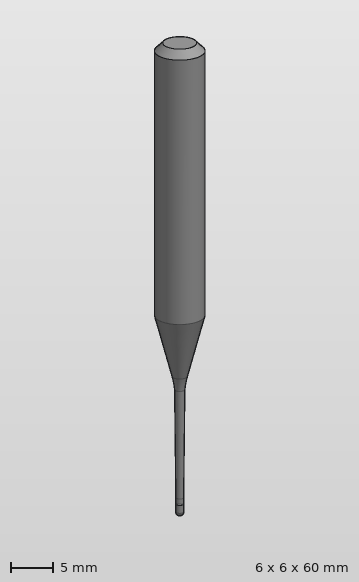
import cadquery as cq
import math


overall_length = 60.0
shank_radius = 3.0
end_chamfer = 1.0
shank_bottom = 25.45

cone_half_angle = math.radians(15)
cone_bottom = 17.7

neck_half_angle = math.radians(0.6)
neck_taper_top = 16.0
neck_taper_bottom = 2.3
neck_radius = 0.475

head_radius = 0.5
head_length = 1.5
flare_height = 0.15


def taper_growth(height, half_angle):
    """Radius gained by a cone of the given half angle over a height."""
    return height * math.tan(half_angle)


def make_shank():
    """Shank, cone, blend and neck, turned from one profile."""
    cone_bottom_radius = shank_radius - taper_growth(shank_bottom - cone_bottom, cone_half_angle)
    taper_top_radius = neck_radius + taper_growth(neck_taper_top - neck_taper_bottom, neck_half_angle)
    flare_top = head_length + flare_height
    return (
        cq.Workplane("XZ")
        .moveTo(0, overall_length)
        .lineTo(shank_radius - end_chamfer, overall_length)
        .lineTo(shank_radius, overall_length - end_chamfer)
        .lineTo(shank_radius, shank_bottom)
        .lineTo(cone_bottom_radius, cone_bottom)
        .tangentArcPoint((taper_top_radius, neck_taper_top), relative=False)
        .lineTo(neck_radius, neck_taper_bottom)
        .lineTo(neck_radius, flare_top)
        .lineTo(head_radius, head_length)
        .lineTo(0, head_length)
        .close()
        .revolve(360, (0, 0, 0), (0, 1, 0))
    )


def make_cutting_head():
    """Cylinder closed at the bottom by a half ball."""
    ball_mid = head_radius * math.sqrt(0.5)
    return (
        cq.Workplane("XZ")
        .moveTo(0, head_length)
        .lineTo(head_radius, head_length)
        .lineTo(head_radius, head_radius)
        .threePointArc((ball_mid, head_radius - ball_mid), (0, 0))
        .close()
        .revolve(360, (0, 0, 0), (0, 1, 0))
    )


shank = make_shank()
cutting_head = make_cutting_head()

result = cq.Compound.makeCompound([shank.val(), cutting_head.val()])